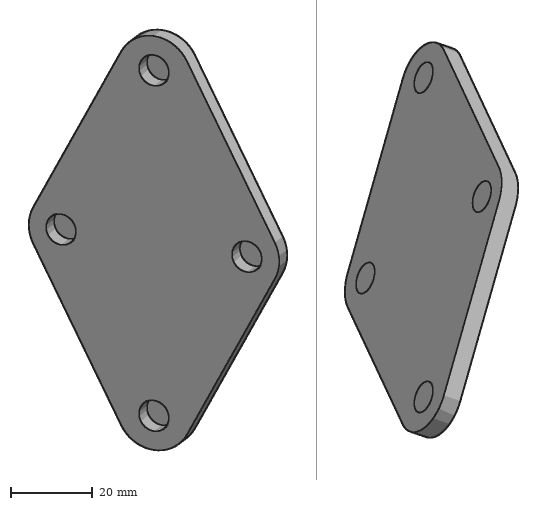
import cadquery as cq

width = 67.3
height = 108.0
thickness = 5.0
corner_radius = 10.0

hole_diameter = 8.0
hole_offset_x = 25.0
hole_offset_z = 45.1
hole_floor = 0.1
hole_depth = thickness - hole_floor


def diamond_plate():
    """Diamond with equal rounded corners, centred on the origin."""
    arc_centre_x = width / 2 - corner_radius
    arc_centre_z = height / 2 - corner_radius
    corners = [
        (arc_centre_x, 0),
        (0, arc_centre_z),
        (-arc_centre_x, 0),
        (0, -arc_centre_z),
    ]
    return (
        cq.Workplane("XZ", origin=(0, thickness / 2, 0))
        .polyline(corners)
        .close()
        .offset2D(corner_radius, "arc")
        .extrude(thickness)
    )


def corner_holes():
    """Cylinders to remove, sunk from the -Y face."""
    centres = [
        (hole_offset_x, 0),
        (0, hole_offset_z),
        (-hole_offset_x, 0),
        (0, -hole_offset_z),
    ]
    return (
        cq.Workplane("XZ", origin=(0, -thickness / 2, 0))
        .pushPoints(centres)
        .circle(hole_diameter / 2)
        .extrude(-hole_depth)
    )


result = diamond_plate().cut(corner_holes())